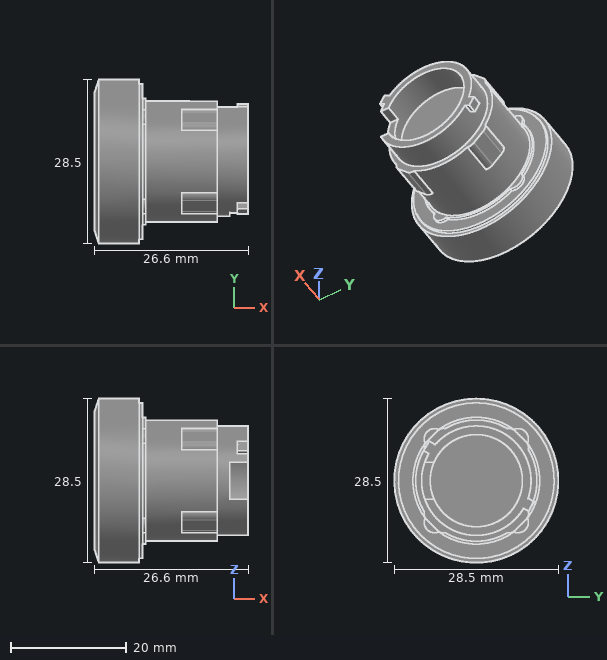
import cadquery as cq
import math

BEZEL_CHAMFER_END_X = 0.75
BEZEL_END_X = 7.75
FLANGE_END_X = 8.35
RING_END_X = 8.9
PAD_START_X = 15.1
BODY_END_X = 21.3
NOTCH_START_X = 23.5
TAB_START_X = 24.8
REAR_X = 26.65

FACE_RADIUS = 12.0
BEZEL_RADIUS = 14.25
FLANGE_RADIUS = 13.5
RING_RADIUS = 11.0
BODY_RADIUS = 10.52
NECK_RADIUS = 9.5
BORE_RADIUS = 8.0

DIAGONAL_ANGLES = [45, 135, 225, 315]
PAD_FLAT_RADIUS = 10.86
PAD_FLAT_WIDTH = 2.66
PAD_ROUND_RADIUS = 1.5
PAD_ROOT_RADIUS = 9.7
BUMP_RADIUS = 1.8
BUMP_OUTER_RADIUS = 12.03

NOTCH_WIDTH = 6.4

TAB_BAR_LENGTH = 21.0
TAB_BAR_WIDTH = 1.9
TAB_BAR_OFFSET = 0.9
TAB_BAR_TILT = -30


def section_plane(x):
    """Plane across the axis at x: local x is +Y, local y is +Z."""
    return cq.Workplane("YZ", origin=(x, 0, 0))


def neck_bore():
    """Blind bore from the rear end through the length of the neck."""
    return section_plane(BODY_END_X).circle(BORE_RADIUS).extrude(REAR_X - BODY_END_X)


def turned_body():
    """Chamfered bezel, flange, ring, body and neck as one revolved profile."""
    profile = [
        (0, 0),
        (0, FACE_RADIUS),
        (BEZEL_CHAMFER_END_X, BEZEL_RADIUS),
        (BEZEL_END_X, BEZEL_RADIUS),
        (BEZEL_END_X, FLANGE_RADIUS),
        (FLANGE_END_X, FLANGE_RADIUS),
        (FLANGE_END_X, RING_RADIUS),
        (RING_END_X, RING_RADIUS),
        (RING_END_X, BODY_RADIUS),
        (BODY_END_X, BODY_RADIUS),
        (BODY_END_X, NECK_RADIUS),
        (REAR_X, NECK_RADIUS),
        (REAR_X, 0),
    ]
    outline = cq.Workplane("XZ").polyline(profile).close()
    return outline.revolve(360, (0, 0, 0), (1, 0, 0))


def pad(angle):
    """Flat-topped pad whose two long edges are rounded down into the body."""
    pad_height = PAD_FLAT_RADIUS - PAD_ROOT_RADIUS
    half_flat = PAD_FLAT_WIDTH / 2
    round_center = PAD_FLAT_RADIUS - PAD_ROUND_RADIUS
    round_sweep = math.acos(1 - pad_height / PAD_ROUND_RADIUS)
    half_root = half_flat + PAD_ROUND_RADIUS * math.sin(round_sweep)
    mid_across = half_flat + PAD_ROUND_RADIUS * math.sin(round_sweep / 2)
    mid_radial = round_center + PAD_ROUND_RADIUS * math.cos(round_sweep / 2)
    return (
        section_plane(PAD_START_X)
        .moveTo(PAD_ROOT_RADIUS, -half_root)
        .threePointArc((mid_radial, -mid_across), (PAD_FLAT_RADIUS, -half_flat))
        .lineTo(PAD_FLAT_RADIUS, half_flat)
        .threePointArc((mid_radial, mid_across), (PAD_ROOT_RADIUS, half_root))
        .close()
        .extrude(BODY_END_X - PAD_START_X)
        .rotate((0, 0, 0), (1, 0, 0), angle)
    )


def bump(angle):
    """Round bump standing out of the ring."""
    return (
        section_plane(FLANGE_END_X)
        .center(BUMP_OUTER_RADIUS - BUMP_RADIUS, 0)
        .circle(BUMP_RADIUS)
        .extrude(RING_END_X - FLANGE_END_X)
        .rotate((0, 0, 0), (1, 0, 0), angle)
    )


def tab_bar():
    """Bar across the neck; once the bore is cut, only its end tabs remain."""
    return (
        section_plane(TAB_START_X)
        .center(0, TAB_BAR_OFFSET)
        .rect(TAB_BAR_LENGTH, TAB_BAR_WIDTH)
        .extrude(REAR_X - TAB_START_X)
        .rotate((0, 0, 0), (1, 0, 0), TAB_BAR_TILT)
    )


def neck_notch():
    """Rectangular cut through the -Y wall of the neck, open at the rear."""
    notch_length = REAR_X - NOTCH_START_X
    return (
        section_plane(NOTCH_START_X)
        .center(-NECK_RADIUS / 2, 0)
        .rect(NECK_RADIUS, NOTCH_WIDTH)
        .extrude(notch_length)
    )


result = turned_body()
for diagonal in DIAGONAL_ANGLES:
    result = result.union(pad(diagonal)).union(bump(diagonal))
result = result.union(tab_bar())
result = result.cut(neck_bore())
result = result.cut(neck_notch())